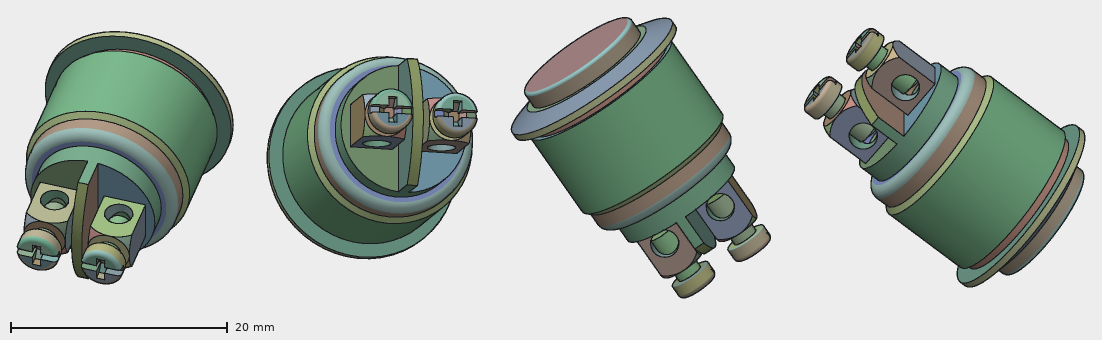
import cadquery as cq
import math


flange_diameter = 18.0
flange_face_diameter = 13.3
flange_rim_thickness = 0.65
flange_thickness = 1.5
neck_diameter = 14.8
neck_length = 0.8
thread_diameter = 15.8
thread_length = 9.0
housing_length = 12.0
tail_fillet = 0.9

button_diameter = 12.0
button_height = 1.6
button_fillet = 0.3

base_diameter = 12.0
base_length = 3.0
socket_depth = 1.0
divider_thickness = 1.0
divider_height = 5.0
divider_shoulder_height = 3.0

terminal_spacing = 6.2
block_width = 4.0
block_length = 5.0
corner_sphere_depth = 3.0
wire_hole_diameter = 2.6
wire_hole_distance = 1.9
pilot_diameter = 2.1
pilot_floor_distance = 0.4

shank_diameter = 2.4
screw_gap = 1.0
screw_tip_distance = 1.3
head_diameter = block_width
head_height = 1.5
head_fillet = 0.4
head_seat_fillet = 0.1
slot_width = 0.7
slot_depth = 0.8
cross_depth = 1.4
cross_arm_width = 0.8
cross_height = 2.4
cross_width = 2.15
cross_floor_length = 1.0

housing_end = -housing_length
socket_floor = housing_end + socket_depth
base_face = socket_floor - base_length
block_face = base_face - block_length
head_seat = block_face - screw_gap
head_face = head_seat - head_height
pilot_end = base_face - pilot_floor_distance
screw_tip = base_face - screw_tip_distance
wire_hole_y = base_face - wire_hole_distance

terminal_positions = [-terminal_spacing / 2, terminal_spacing / 2]


def rod(diameter, y_start, y_end, x=0.0):
    """Cylinder along Y from y_start (larger Y) to y_end."""
    return (
        cq.Workplane("XZ", origin=(x, y_start, 0))
        .circle(diameter / 2)
        .extrude(y_start - y_end)
    )


def make_housing():
    flange_radius = flange_diameter / 2
    neck_radius = neck_diameter / 2
    thread_radius = thread_diameter / 2
    thread_start = -neck_length
    thread_chamfer = thread_radius - neck_radius
    thread_end = thread_start - thread_length
    profile = [
        (0, flange_thickness),
        (flange_face_diameter / 2, flange_thickness),
        (flange_radius, flange_rim_thickness),
        (flange_radius, 0),
        (neck_radius, 0),
        (neck_radius, thread_start),
        (thread_radius, thread_start),
        (thread_radius, thread_end + thread_chamfer),
        (neck_radius, thread_end),
        (neck_radius, housing_end),
        (0, housing_end),
    ]
    body = cq.Workplane("XY").polyline(profile).close().revolve(360, (0, 0, 0), (0, 1, 0))
    body = body.faces("<Y").edges().fillet(tail_fillet)
    return body.cut(rod(base_diameter, socket_floor, housing_end))


def make_button():
    button_top = flange_thickness + button_height
    button = rod(button_diameter, button_top, flange_thickness)
    return button.faces(">Y").edges().fillet(button_fillet)


def make_base():
    radius = base_diameter / 2
    shoulder_y = base_face - divider_shoulder_height
    crown_y = base_face - divider_height
    divider = (
        cq.Workplane("YZ", origin=(-divider_thickness / 2, 0, 0))
        .moveTo(base_face, -radius)
        .lineTo(shoulder_y, -radius)
        .threePointArc((crown_y, 0), (shoulder_y, radius))
        .lineTo(base_face, radius)
        .close()
        .extrude(divider_thickness)
        .intersect(rod(base_diameter, base_face, crown_y))
    )
    return rod(base_diameter, socket_floor, base_face).union(divider)


def make_block(x):
    half_width = block_width / 2
    block = (
        cq.Workplane("XZ", origin=(x, base_face, 0))
        .rect(block_width, block_width)
        .extrude(block_length)
    )
    sphere_radius = math.hypot(half_width, corner_sphere_depth)
    sphere_y = block_face + corner_sphere_depth
    corner_sphere = cq.Workplane("XY", origin=(x, sphere_y, 0)).sphere(sphere_radius)
    envelope = corner_sphere.union(rod(2 * block_width, base_face, sphere_y, x))
    wire_hole = (
        cq.Workplane("XY", origin=(x, wire_hole_y, -half_width))
        .circle(wire_hole_diameter / 2)
        .extrude(block_width)
    )
    block = block.intersect(envelope).cut(wire_hole)
    block = block.cut(rod(shank_diameter, screw_tip, block_face, x))
    return block.cut(rod(pilot_diameter, pilot_end, wire_hole_y, x))


def make_cross_arm(length, width):
    """One arm of the cross recess: straight down to the slot depth, then narrowing."""
    return (
        cq.Workplane("XY", origin=(0, 0, -width / 2))
        .moveTo(-length / 2, 0)
        .lineTo(-length / 2, slot_depth)
        .lineTo(-cross_floor_length / 2, cross_depth)
        .lineTo(cross_floor_length / 2, cross_depth)
        .lineTo(length / 2, slot_depth)
        .lineTo(length / 2, 0)
        .close()
        .extrude(width)
    )


def make_screw(x):
    head = rod(head_diameter, head_seat, head_face, x)
    head = head.faces("<Y").edges().fillet(head_fillet)
    head = head.faces(">Y").edges().fillet(head_seat_fillet)
    screw = head.union(rod(shank_diameter, screw_tip, head_seat, x))

    slot = cq.Workplane("XY").box(head_diameter, slot_depth, slot_width)
    slot = slot.translate((x, head_face + slot_depth / 2, 0))

    upright_arm = make_cross_arm(cross_height, cross_arm_width)
    upright_arm = upright_arm.rotate((0, 0, 0), (0, 1, 0), 90).translate((x, head_face, 0))
    level_arm = make_cross_arm(cross_width, slot_width).translate((x, head_face, 0))
    return screw.cut(slot).cut(upright_arm).cut(level_arm)


housing = make_housing()
button = make_button()
base = make_base()
blocks = [make_block(x) for x in terminal_positions]
screws = [make_screw(x) for x in terminal_positions]

result = cq.Compound.makeCompound(
    [
        housing.val(),
        button.val(),
        base.val(),
        *[block.val() for block in blocks],
        *[screw.val() for screw in screws],
    ]
)